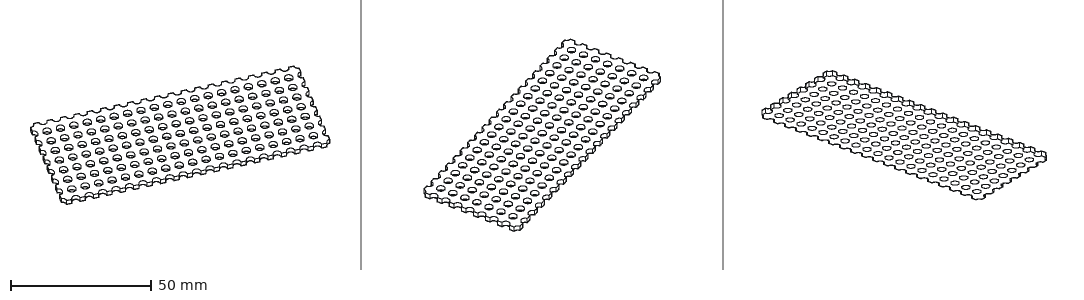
import cadquery as cq

pitch = 5.0
columns = 8
rows = 20
thickness = 2.0
hole_diameter = 3.0

width = columns * pitch
length = rows * pitch

plate = cq.Workplane("XY").box(width, length, thickness)

result = (
    plate.faces(">Z")
    .workplane()
    .rarray(pitch, pitch, columns + 1, rows + 1)
    .hole(hole_diameter)
)